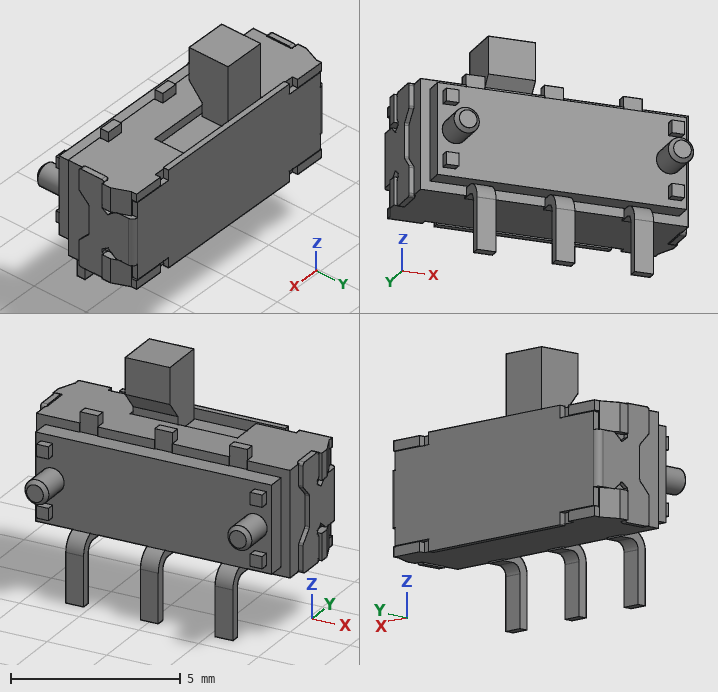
import cadquery as cq


BODY_WIDTH = 8.5
BODY_HEIGHT = 3.5
BODY_FRONT = 2.63
BASE_WIDTH = 7.9
BASE_HEIGHT = 2.9
BASE_FRONT = 3.23
CORNER_BLOCK_INNER_X = 3.15
CORNER_BLOCK_LOW_Z = 1.44

EAR_REACH_X = 4.5
EAR_LOW_Z = 0.86
EAR_RAMP_END = 0.8
EAR_FRONT = 1.12

SHEET = 0.2
COVER_WIDTH = 8.8
COVER_HEIGHT = 3.6
WING_BEND = 0.19
COVER_TAB_WIDTH = 5.56
COVER_PLATE_HEIGHT = 2.84
WING_FRONT = 2.1
WING_CORNER = 0.1
WING_NOTCH_BACK = 1.71
WING_NOTCH_CENTER_Z = 0.08
WING_NOTCH_HALF_HEIGHT = 0.54
BARB_BACK = 0.67
BARB_TIP = 0.98
BARB_TIP_Z = 0.61
BARB_FRONT = 1.2
BARB_FRONT_Z = 0.76

SLOT_WIDTH = 3.6
SLOT_FRONT = 1.35
SLOT_DEPTH = 0.3
KNOB_X = -1.0
KNOB_WIDTH = 1.5
KNOB_BACK = 0.25
KNOB_FRONT = 1.75
KNOB_TOP_Z = 3.75
KNOB_RAMP_TOP_Z = 2.55
NECK_FRONT = 1.25
NECK_TOP_Z = 1.95

TERMINAL_PITCH = 2.5
TERMINAL_WIDTH = 0.6
TERMINAL_THICKNESS = 0.3
STUB_FRONT = 2.6
STUB_TOP_Z = 2.1
LEG_BACK = 2.5
LEG_FRONT = 3.5
LEG_TOP_Z = -1.5
LEG_END_Z = -3.75
BEND_OUTER = 0.6

PIN_DIAMETER = 0.8
PIN_X = 3.4
PIN_FRONT = 4.3
PIN_CHAMFER = 0.12
NUB_SIZE = 0.4
NUB_X = 3.58
NUB_Z = 1.0
NUB_FRONT = 3.5


def block(x_center, width, back, front, z_low, z_high):
    """Box centred on x_center, between two depths and two heights."""
    centered_in_x = (True, False, False)
    solid = cq.Workplane("XY").box(width, front - back, z_high - z_low, centered=centered_in_x)
    return solid.translate((x_center, -front, z_low))


def side_profile(points, x_start, thickness):
    """Extrude (depth, z) points along +X from x_start."""
    outline = [(-depth, z) for depth, z in points]
    return cq.Workplane("YZ", origin=(x_start, 0, 0)).polyline(outline).close().extrude(thickness)


def both_ends(solid):
    return solid.union(solid.mirror("YZ"))


def top_and_bottom(solid):
    return solid.union(solid.mirror("XY"))


def make_housing():
    half_height = BODY_HEIGHT / 2
    body = block(0, BODY_WIDTH, SHEET, BODY_FRONT, -half_height, half_height)
    base = block(0, BASE_WIDTH, BODY_FRONT, BASE_FRONT, -BASE_HEIGHT / 2, BASE_HEIGHT / 2)
    slot = block(0, SLOT_WIDTH, SHEET, SLOT_FRONT, half_height - SLOT_DEPTH, half_height)
    corner_width = BODY_WIDTH / 2 - CORNER_BLOCK_INNER_X
    corner_x = CORNER_BLOCK_INNER_X + corner_width / 2
    corner = block(corner_x, corner_width, 0, SHEET, CORNER_BLOCK_LOW_Z, half_height)
    ear = (
        cq.Workplane("XY", origin=(0, 0, EAR_LOW_Z))
        .moveTo(CORNER_BLOCK_INNER_X, -SHEET)
        .lineTo(BODY_WIDTH / 2, -SHEET)
        .lineTo(EAR_REACH_X, -EAR_RAMP_END)
        .lineTo(EAR_REACH_X, -EAR_FRONT)
        .lineTo(CORNER_BLOCK_INNER_X, -EAR_FRONT)
        .close()
        .extrude(half_height - EAR_LOW_Z)
    )
    ends = both_ends(top_and_bottom(corner.union(ear)))
    return body.union(base).union(ends).cut(slot)


def make_wing():
    """Cover wing folded along the +X end of the housing."""
    half_height = COVER_HEIGHT / 2
    inner_x = COVER_WIDTH / 2 - SHEET
    center_x = inner_x + SHEET / 2
    tongue = block(center_x, SHEET, 0, EAR_FRONT, -EAR_LOW_Z, EAR_LOW_Z)
    tongue = tongue.edges("|Z and >X and >Y").fillet(WING_BEND)
    plate = block(center_x, SHEET, EAR_FRONT, WING_FRONT, -half_height, half_height)
    notch_slope = WING_FRONT - WING_NOTCH_BACK
    notch_outer = WING_NOTCH_HALF_HEIGHT + notch_slope
    notch = side_profile(
        [
            (WING_FRONT, WING_NOTCH_CENTER_Z + notch_outer),
            (WING_NOTCH_BACK, WING_NOTCH_CENTER_Z + WING_NOTCH_HALF_HEIGHT),
            (WING_NOTCH_BACK, WING_NOTCH_CENTER_Z - WING_NOTCH_HALF_HEIGHT),
            (WING_FRONT, WING_NOTCH_CENTER_Z - notch_outer),
        ],
        inner_x,
        SHEET,
    )
    plate = plate.cut(notch).edges("|X").fillet(WING_CORNER)
    barb_relief = side_profile(
        [
            (BARB_BACK, EAR_LOW_Z),
            (BARB_TIP, BARB_TIP_Z),
            (BARB_FRONT, BARB_FRONT_Z),
            (BARB_FRONT, EAR_LOW_Z),
            (EAR_FRONT, EAR_LOW_Z + WING_CORNER),
        ],
        inner_x,
        SHEET,
    )
    return tongue.union(plate).cut(top_and_bottom(barb_relief))


def make_cover():
    half_plate = COVER_PLATE_HEIGHT / 2
    plate = block(0, COVER_WIDTH - 2 * SHEET, 0, SHEET, -half_plate, half_plate)
    tabs = block(0, COVER_TAB_WIDTH, 0, SHEET, -COVER_HEIGHT / 2, COVER_HEIGHT / 2)
    return plate.union(tabs).union(both_ends(make_wing()))


def make_slider():
    floor_z = BODY_HEIGHT / 2 - SLOT_DEPTH
    outline = [
        (KNOB_BACK, floor_z),
        (KNOB_BACK, KNOB_TOP_Z),
        (KNOB_FRONT, KNOB_TOP_Z),
        (KNOB_FRONT, KNOB_RAMP_TOP_Z),
        (NECK_FRONT, NECK_TOP_Z),
        (NECK_FRONT, floor_z),
    ]
    return side_profile(outline, KNOB_X - KNOB_WIDTH / 2, KNOB_WIDTH)


def make_stub_recess(x_center):
    """Shallow slot in the housing front that bares the face of a stub."""
    return block(x_center, TERMINAL_WIDTH, STUB_FRONT, BODY_FRONT, BASE_HEIGHT / 2, BODY_HEIGHT / 2)


def make_terminal(x_center):
    """Straight stub above the housing and a leg bent down below it."""
    stub = block(x_center, TERMINAL_WIDTH, STUB_FRONT - TERMINAL_THICKNESS, STUB_FRONT, 0, STUB_TOP_Z)
    bend_depth = LEG_FRONT - BEND_OUTER
    bend_z = LEG_TOP_Z - BEND_OUTER
    bend_inner = BEND_OUTER - TERMINAL_THICKNESS
    leg = (
        cq.Workplane("YZ", origin=(x_center - TERMINAL_WIDTH / 2, 0, 0))
        .moveTo(-LEG_BACK, LEG_TOP_Z)
        .lineTo(-bend_depth, LEG_TOP_Z)
        .radiusArc((-LEG_FRONT, bend_z), -BEND_OUTER)
        .lineTo(-LEG_FRONT, LEG_END_Z)
        .lineTo(TERMINAL_THICKNESS - LEG_FRONT, LEG_END_Z)
        .lineTo(TERMINAL_THICKNESS - LEG_FRONT, bend_z)
        .radiusArc((-bend_depth, bend_z + bend_inner), bend_inner)
        .lineTo(-LEG_BACK, LEG_TOP_Z - TERMINAL_THICKNESS)
        .close()
        .extrude(TERMINAL_WIDTH)
    )
    return stub.union(leg)


def make_base_details():
    """Chamfered locating pin and two nubs, repeated at both ends."""
    pin = (
        cq.Workplane("XZ", origin=(PIN_X, -BASE_FRONT, 0))
        .circle(PIN_DIAMETER / 2)
        .extrude(PIN_FRONT - BASE_FRONT)
        .faces("<Y")
        .chamfer(PIN_CHAMFER)
    )
    nub = block(NUB_X, NUB_SIZE, BASE_FRONT, NUB_FRONT, NUB_Z - NUB_SIZE / 2, NUB_Z + NUB_SIZE / 2)
    return both_ends(pin.union(top_and_bottom(nub)))


result = make_housing().union(make_cover()).union(make_slider()).union(make_base_details())
for position in (-1, 0, 1):
    terminal_x = position * TERMINAL_PITCH
    result = result.cut(make_stub_recess(terminal_x)).union(make_terminal(terminal_x))